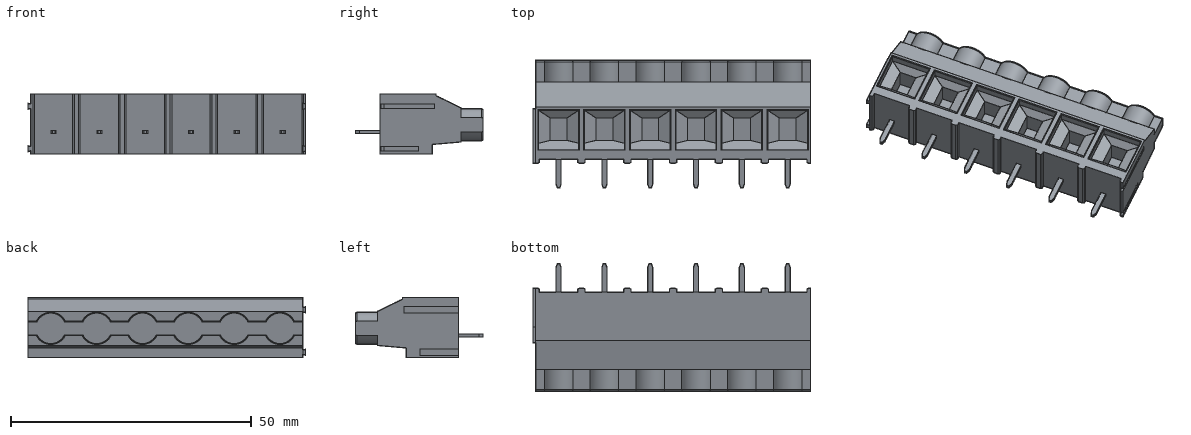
import cadquery as cq


pole_count = 6
length = 57.65
width = 26.5
height = 12.5
pitch = 9.5
rail_depth = 0.6

x_left = -length / 2 + rail_depth
x_right = length / 2
body_length = x_right - x_left
x_middle = (x_left + x_right) / 2
z_top = height / 2
z_bottom = -height / 2
y_back = width / 2
y_pin_tip = -width / 2

y_base = -7.3
y_slope_top = 3.5
y_shoulder = 8.7
y_foot = 2.7
z_slope_top = 5.9
z_slope_bottom = 3.35
z_under_back = -3.75
z_under_foot = -4.25

z_barrel = -0.2
barrel_radius = 3.35
bar_height = 3.05
end_chamfer_length = 0.35
end_chamfer_rise = 0.2

rib_width = 1.55
rib_height = 0.85
rib_chamfer_x = 0.35
rib_chamfer_y = 0.25

rail_neck = 0.9
rail_head = 1.25
rail_starts = [(3.2, 3.7), (-0.1, -5.15)]

opening_x = 8.6
y_opening_front = -5.4
y_opening_back = 3.0
lip_chamfer = 0.2
funnel_start = 1.8
funnel_end = 2.55
hole_x = 3.5
y_hole_front = -3.4
y_hole_back = 1.25
hole_depth = 6.9

pin_width = 1.1
pin_thickness = 0.7
pin_tip_width = 0.5
pin_tip_length = 0.8
z_pin = -1.7

pole_xs = [x_middle + (i - (pole_count - 1) / 2) * pitch for i in range(pole_count)]
rib_xs = [x_middle + (i - pole_count / 2) * pitch for i in range(pole_count + 1)]
y_rib_face = y_base - rib_height


def make_body():
    """Constant cross-section extruded along the row of poles."""
    section = [
        (y_base, z_bottom),
        (y_foot, z_bottom),
        (y_foot, z_under_foot),
        (y_shoulder, z_under_back),
        (y_shoulder, z_slope_bottom),
        (y_slope_top, z_slope_top),
        (y_slope_top, z_top),
        (y_base, z_top),
    ]
    return cq.Workplane("YZ", origin=(x_left, 0, 0)).polyline(section).close().extrude(body_length)


def make_barrel_bar():
    """Flat bar along the back with its long end edges bevelled."""
    half = bar_height / 2
    y_bevel = y_back - end_chamfer_length
    section = [
        (y_shoulder, -half),
        (y_bevel, -half),
        (y_back, end_chamfer_rise - half),
        (y_back, half - end_chamfer_rise),
        (y_bevel, half),
        (y_shoulder, half),
    ]
    return cq.Workplane("YZ", origin=(x_left, 0, z_barrel)).polyline(section).close().extrude(body_length)


def make_barrel(x):
    """Round screw barrel with a bevelled end, turned about an axis along Y."""
    section = [
        (0, y_shoulder),
        (barrel_radius, y_shoulder),
        (barrel_radius, y_back - end_chamfer_length),
        (barrel_radius - end_chamfer_rise, y_back),
        (0, y_back),
    ]
    return cq.Workplane("XY", origin=(x, 0, z_barrel)).polyline(section).close().revolve(360, (0, 0), (0, 1))


def make_rib(x):
    """Full-height standoff rib with bevelled outer edges."""
    half = rib_width / 2
    section = [
        (-half, y_base),
        (-half, y_rib_face + rib_chamfer_y),
        (rib_chamfer_x - half, y_rib_face),
        (half - rib_chamfer_x, y_rib_face),
        (half, y_rib_face + rib_chamfer_y),
        (half, y_base),
    ]
    return cq.Workplane("XY", origin=(x, 0, z_bottom)).polyline(section).close().extrude(height)


def make_dovetail(x_neck, y_end, z):
    """Dovetail bar that widens toward -X, from the rib face to y_end."""
    section = [
        (0, -rail_neck / 2),
        (0, rail_neck / 2),
        (-rail_depth, rail_head / 2),
        (-rail_depth, -rail_head / 2),
    ]
    plane = cq.Workplane("XZ", origin=(x_neck, y_rib_face, z))
    return plane.polyline(section).close().extrude(y_rib_face - y_end)


def funnel_level(depth, x_size, y_front, y_rear):
    """Rectangle wire of a wire opening at a depth below the top face."""
    plane = cq.Workplane("XY", origin=(0, (y_front + y_rear) / 2, z_top - depth))
    return plane.rect(x_size, y_rear - y_front)


def loft_between(upper, lower):
    """Ruled solid between two rectangles given as funnel_level arguments."""
    wires = [funnel_level(*upper).val(), funnel_level(*lower).val()]
    return cq.Workplane(cq.Solid.makeLoft(wires, True))


def make_wire_opening():
    """Bevelled mouth, upright walls on three sides, shallow funnel and blind rectangular hole."""
    mouth_x = opening_x - 2 * lip_chamfer
    y_mouth_front = y_opening_front + lip_chamfer
    y_mouth_back = y_opening_back - lip_chamfer

    wall_fraction = (funnel_start - lip_chamfer) / (funnel_end - lip_chamfer)
    y_funnel_front = y_mouth_front + wall_fraction * (y_hole_front - y_mouth_front)

    rim = (0, opening_x, y_opening_front, y_opening_back)
    mouth = (lip_chamfer, mouth_x, y_mouth_front, y_mouth_back)
    funnel_top = (funnel_start, mouth_x, y_funnel_front, y_mouth_back)
    funnel_bottom = (funnel_end, hole_x, y_hole_front, y_hole_back)
    floor = (hole_depth, hole_x, y_hole_front, y_hole_back)

    levels = [rim, mouth, funnel_top, funnel_bottom, floor]
    opening = loft_between(levels[0], levels[1])
    for upper, lower in zip(levels[1:], levels[2:]):
        opening = opening.union(loft_between(upper, lower))
    return opening


def make_pin(x):
    """Flat solder pin with a tapered tip, rooted in the base."""
    half = pin_width / 2
    tip_half = pin_tip_width / 2
    y_taper = y_pin_tip + pin_tip_length
    section = [
        (-half, y_base),
        (-half, y_taper),
        (-tip_half, y_pin_tip),
        (tip_half, y_pin_tip),
        (half, y_taper),
        (half, y_base),
    ]
    plane = cq.Workplane("XY", origin=(x, 0, z_pin - pin_thickness / 2))
    return plane.polyline(section).close().extrude(pin_thickness)


housing = make_body().union(make_barrel_bar())
for pole_x in pole_xs:
    housing = housing.union(make_barrel(pole_x))
for rib_x in rib_xs:
    housing = housing.union(make_rib(rib_x))
end_trim = cq.Workplane("XY", origin=(x_middle, 0, 0)).box(body_length, width, height)
housing = housing.intersect(end_trim)

for y_rail_end, z_rail in rail_starts:
    housing = housing.cut(make_dovetail(x_right, y_rail_end, z_rail))
    housing = housing.union(make_dovetail(x_left, y_rail_end, z_rail))

wire_opening = make_wire_opening()
for pole_x in pole_xs:
    housing = housing.cut(wire_opening.translate((pole_x, 0, 0)))
    housing = housing.union(make_pin(pole_x))

result = housing